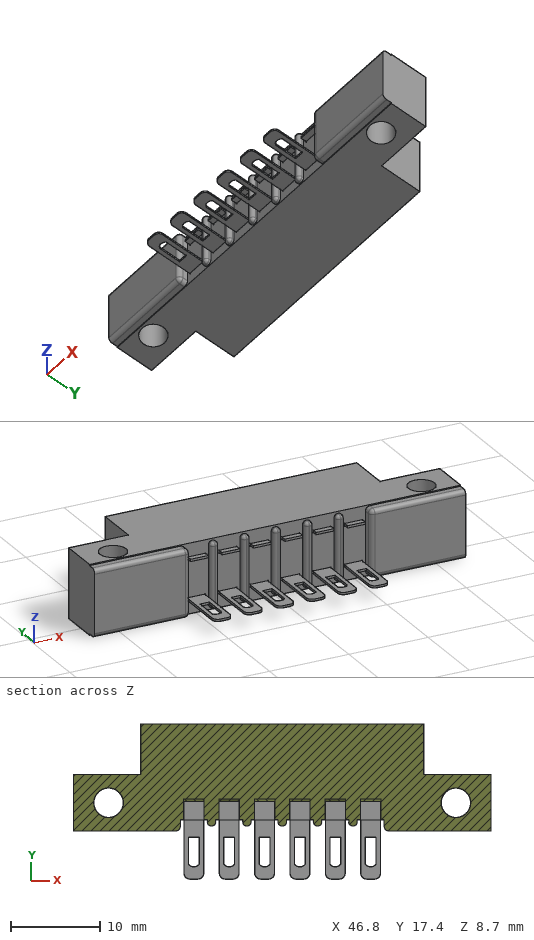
import cadquery as cq


LENGTH = 46.8
HEIGHT = 8.7
BODY_DEPTH = 10.75
CENTRE_LENGTH = 31.72
SHOULDER_SETBACK = 5.65
MOUNT_HOLE_SPACING = 38.9
MOUNT_HOLE_DIAMETER = 3.28

POSITIONS = 6
ROW_LENGTH = 19.8
PITCH = ROW_LENGTH / (POSITIONS - 1)

PAD_DEPTH = 1.25
PAD_ROUNDING = 0.55
RIB_WIDTH = 1.0
RIB_DEPTH = 0.7
RIB_ROUNDING = 0.45
PAD_INSET = 0.15
RIB_INSET = 0.25
PAD_INNER_X = (POSITIONS * PITCH - RIB_WIDTH) / 2
PAD_LENGTH = LENGTH / 2 - PAD_INNER_X

CONTACT_WIDTH = 2.25
CONTACT_THICKNESS = 0.3
CONTACT_HEIGHT = 5.4
CONTACT_CLEARANCE = 0.1
STUB_LENGTH = RIB_DEPTH
TIP_Y = -6.65
TIP_ROUNDING = 0.7
INSERTION_DEPTH = 2.35
EYE_WIDTH = 1.15
EYE_LENGTH = 3.28
EYE_END_BULGE = 0.3
EYE_TO_TIP = 1.4

POSITION_XS = [(i - (POSITIONS - 1) / 2) * PITCH for i in range(POSITIONS)]


def block(x_range, y_range, z_range):
    """Box between the given limits on each axis."""
    corner = (x_range[0], y_range[0], z_range[0])
    size = [limits[1] - limits[0] for limits in (x_range, y_range, z_range)]
    return cq.Workplane("XY").box(*size, centered=False).translate(corner)


def contact_loop(x, strip_thickness, lower_front_y, upper_front_y):
    """Two flat strips joined by an upright bridge at the rear, with the given strip thickness."""
    x_range = (x - CONTACT_WIDTH / 2, x + CONTACT_WIDTH / 2)
    outer_z = CONTACT_HEIGHT / 2
    inner_z = outer_z - strip_thickness
    lower_strip = block(x_range, (lower_front_y, INSERTION_DEPTH), (-outer_z, -inner_z))
    upper_strip = block(x_range, (upper_front_y, INSERTION_DEPTH), (inner_z, outer_z))
    bridge_front_y = INSERTION_DEPTH - CONTACT_THICKNESS
    bridge = block(x_range, (bridge_front_y, INSERTION_DEPTH), (-outer_z, outer_z))
    return lower_strip.union(bridge).union(upper_strip)


def make_body():
    """Wide central block with a thinner mounting ear at each end."""
    half_height = HEIGHT / 2
    z_range = (-half_height, half_height)
    ears = block((-LENGTH / 2, LENGTH / 2), (0, BODY_DEPTH - SHOULDER_SETBACK), z_range)
    centre = block((-CENTRE_LENGTH / 2, CENTRE_LENGTH / 2), (0, BODY_DEPTH), z_range)
    return ears.union(centre)


def make_pad():
    """Pad on the right-hand ear, rounded all around its front except at the outer end."""
    half_height = HEIGHT / 2 - PAD_INSET
    pad = block((PAD_INNER_X, PAD_INNER_X + PAD_LENGTH), (-PAD_DEPTH, 0), (-half_height, half_height))
    rounded_edges = pad.faces("<Y or <X").edges("not (>X or >Y)")
    return pad.newObject(rounded_edges.vals()).fillet(PAD_ROUNDING)


def make_rib(x):
    """Upright rib between neighbouring positions, rounded on every edge but its root."""
    half_height = HEIGHT / 2 - RIB_INSET
    half_width = RIB_WIDTH / 2
    rib = block((x - half_width, x + half_width), (-RIB_DEPTH, 0), (-half_height, half_height))
    return rib.edges("not >Y").fillet(RIB_ROUNDING)


def make_mount_holes():
    """Cylinders for the holes through the middle of each ear and its pad."""
    ear_middle_y = (BODY_DEPTH - SHOULDER_SETBACK - PAD_DEPTH) / 2
    half_spacing = MOUNT_HOLE_SPACING / 2
    return (
        cq.Workplane("XY", origin=(0, 0, -HEIGHT / 2))
        .pushPoints([(-half_spacing, ear_middle_y), (half_spacing, ear_middle_y)])
        .circle(MOUNT_HOLE_DIAMETER / 2)
        .extrude(HEIGHT)
    )


def make_housing():
    housing = make_body()

    right_pad = make_pad()
    housing = housing.union(right_pad).union(right_pad.mirror("YZ"))
    for left_x, right_x in zip(POSITION_XS, POSITION_XS[1:]):
        housing = housing.union(make_rib((left_x + right_x) / 2))

    slot_thickness = CONTACT_THICKNESS + CONTACT_CLEARANCE
    for x in POSITION_XS:
        housing = housing.cut(contact_loop(x, slot_thickness, 0, 0))

    return housing.cut(make_mount_holes())


def make_eye(x):
    """Cutter for the elongated eye in a solder tail, with an arched outer end."""
    half_eye = EYE_WIDTH / 2
    outer_y = TIP_Y + EYE_TO_TIP
    inner_y = outer_y + EYE_LENGTH
    arc_start_y = outer_y + EYE_END_BULGE
    return (
        cq.Workplane("XY", origin=(x, 0, -CONTACT_HEIGHT / 2))
        .moveTo(-half_eye, arc_start_y)
        .threePointArc((0, outer_y), (half_eye, arc_start_y))
        .lineTo(half_eye, inner_y)
        .lineTo(-half_eye, inner_y)
        .close()
        .extrude(CONTACT_THICKNESS)
    )


def make_contact(x):
    """Contact loop whose solder tail has rounded tip corners and an eye."""
    contact = contact_loop(x, CONTACT_THICKNESS, TIP_Y, -STUB_LENGTH)
    contact = contact.faces("<Y").edges("|Z").fillet(TIP_ROUNDING)
    return contact.cut(make_eye(x))


housing = make_housing()
contacts = [make_contact(x) for x in POSITION_XS]

result = cq.Compound.makeCompound(
    [housing.solids().val(), *[contact.solids().val() for contact in contacts]]
)